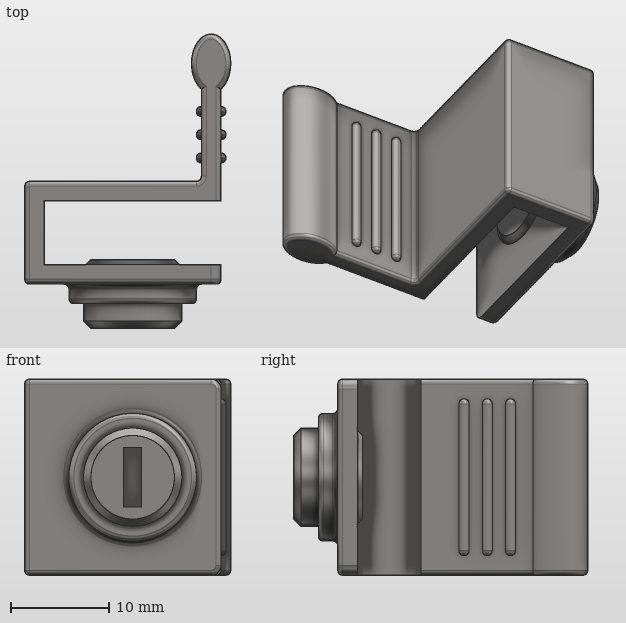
import cadquery as cq

height = 20.0
arm_length = 20.0
wall = 2.0
throat = 6.48
edge_radius = 0.5
plate_corner_radius = 2 * edge_radius
tolerance = 0.003

lock_x = 11.0
lock_z = height / 2
boss_radius = 6.5
boss_height = 1.98

barrel_radius = 5.0
barrel_front = 4.5
barrel_back = 0.5
barrel_chamfer = 0.75
key_slot_width = 1.83
key_slot_height = 6.1
key_slot_depth = 3.0

bulb_half_width = 2.0
bulb_half_length = 3.0
total_depth = 30.0

rib_radius = 0.5
rib_count = 3
rib_pitch = 2.37
rib_inset = 2.0
first_rib_offset = 2.37

rear_arm_front = wall + throat
rear_arm_back = rear_arm_front + wall
flap_left = arm_length - wall
flap_middle = arm_length - wall / 2
bulb_y = total_depth - barrel_front - bulb_half_length


def front_cylinder(radius, y_start, y_end):
    """Cylinder on the lock axis, between two Y positions."""
    plane = cq.Plane(origin=(lock_x, y_start, lock_z), xDir=(1, 0, 0), normal=(0, 1, 0))
    return cq.Workplane(plane).circle(radius).extrude(y_end - y_start)


def make_section_body():
    """Constant section of the U and the flap, which ends inside the bulb."""
    return (
        cq.Workplane("XY")
        .moveTo(0, 0)
        .lineTo(arm_length, 0)
        .lineTo(arm_length, wall)
        .lineTo(wall, wall)
        .lineTo(wall, rear_arm_front)
        .lineTo(arm_length, rear_arm_front)
        .lineTo(arm_length, bulb_y)
        .lineTo(flap_left, bulb_y)
        .lineTo(flap_left, rear_arm_back)
        .lineTo(0, rear_arm_back)
        .close()
        .extrude(height)
    )


def make_bulb():
    """Upright elliptical grip with rounded ends."""
    return (
        cq.Workplane("XY")
        .center(flap_middle, bulb_y)
        .ellipse(bulb_half_width, bulb_half_length)
        .extrude(height)
        .faces("|Z")
        .edges()
        .fillet(edge_radius)
    )


def vertical_edge(body, x, y):
    """The full-height edge at one corner of the section."""
    box = cq.selectors.BoxSelector(
        (x - tolerance, y - tolerance, -tolerance),
        (x + tolerance, y + tolerance, height + tolerance),
        boundingbox=True,
    )
    return body.edges(box)


def is_outer_edge(edge):
    """True for front outline edges and for top or bottom edges outside the throat."""
    box = edge.BoundingBox()
    on_front = box.ymax < tolerance
    level = box.zmax - box.zmin < tolerance
    middle = edge.positionAt(0.5)
    beside_throat = middle.x > tolerance and tolerance < middle.y < rear_arm_front + tolerance
    at_flap_end = box.ymin > bulb_y - tolerance
    return on_front or (level and not beside_throat and not at_flap_end)


def round_bracket(body):
    """Round the plate corners, the flap root and then the outer edges."""
    plate_corners = cq.selectors.BoxSelector(
        (arm_length - tolerance, -tolerance, -tolerance),
        (arm_length + tolerance, wall + tolerance, height + tolerance),
        boundingbox=True,
    )
    body = body.edges(plate_corners).edges("|Y").fillet(plate_corner_radius)
    body = vertical_edge(body, flap_left, rear_arm_back).fillet(edge_radius)
    outer_edges = body.edges().filter(is_outer_edge).vals()
    outer_edges += vertical_edge(body, 0, rear_arm_back).vals()
    return body.newObject(outer_edges).fillet(edge_radius)


def make_boss():
    """Collar around the barrel, rounded in front and flared at its base."""
    return (
        cq.Workplane("XY", origin=(lock_x, 0, lock_z))
        .moveTo(0, wall / 2)
        .lineTo(boss_radius + edge_radius, wall / 2)
        .lineTo(boss_radius + edge_radius, 0)
        .radiusArc((boss_radius, -edge_radius), -edge_radius)
        .lineTo(boss_radius, edge_radius - boss_height)
        .radiusArc((boss_radius - edge_radius, -boss_height), edge_radius)
        .lineTo(0, -boss_height)
        .close()
        .revolve(360, (0, 0, 0), (0, 1, 0))
    )


def make_rib(x, y):
    """Upright round rod with ball ends."""
    length = height - 2 * rib_inset
    return (
        cq.Workplane("XY", origin=(x, y, rib_inset))
        .circle(rib_radius)
        .extrude(length)
        .edges()
        .fillet(rib_radius - tolerance)
    )


def make_bracket():
    bracket = round_bracket(make_section_body()).union(make_bulb()).union(make_boss())
    for side_x in (flap_left, arm_length):
        for index in range(rib_count):
            rib_y = rear_arm_back + first_rib_offset + index * rib_pitch
            bracket = bracket.union(make_rib(side_x, rib_y))
    return bracket.cut(front_cylinder(barrel_radius, -boss_height, wall))


def make_barrel():
    barrel = front_cylinder(barrel_radius, -barrel_front, wall + barrel_back)
    barrel = barrel.faces("<Y or >Y").chamfer(barrel_chamfer)
    key_slot = cq.Workplane("XY").box(key_slot_width, key_slot_depth, key_slot_height)
    return barrel.cut(key_slot.translate((lock_x, key_slot_depth / 2 - barrel_front, lock_z)))


bracket = make_bracket()
barrel = make_barrel()
result = cq.Compound.makeCompound([bracket.val(), barrel.val()])